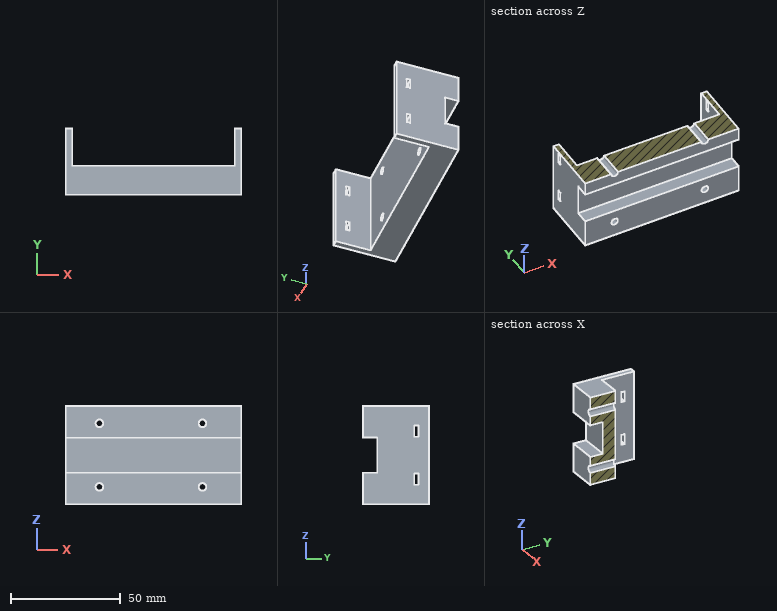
import cadquery as cq

length = 80.0
depth = 30.2
height = 45.0

base_depth = 13.3
plate_thickness = 3.0

groove_height = 16.0
groove_depth = 6.6

hole_diameter = 3.4
hole_row_spacing = 29.0
left_hole_inset = 15.4
hole_pitch = 47.0

slot_width = 1.8
slot_height = 5.0
slot_spacing = 21.9
slot_back_inset = 5.0

left = -length / 2
front = -depth / 2
back = depth / 2


def make_body():
    """U-shaped block: base plus two side plates."""
    block = cq.Workplane("XY").box(length, depth, height)
    recess_depth = depth - base_depth
    recess = (
        cq.Workplane("XY")
        .box(length - 2 * plate_thickness, recess_depth, height)
        .translate((0, back - recess_depth / 2, 0))
    )
    return block.cut(recess)


def make_groove():
    """Rectangular groove running the full length of the front face."""
    return (
        cq.Workplane("XY")
        .box(length, groove_depth, groove_height)
        .translate((0, front + groove_depth / 2, 0))
    )


def make_holes():
    """Four holes running from front to back through the base."""
    first_x = left + left_hole_inset
    centres = [
        (x, z)
        for x in (first_x, first_x + hole_pitch)
        for z in (-hole_row_spacing / 2, hole_row_spacing / 2)
    ]
    return (
        cq.Workplane("XZ", origin=(0, front, 0))
        .pushPoints(centres)
        .circle(hole_diameter / 2)
        .extrude(-base_depth)
    )


def make_slots():
    """Two slots, each passing through both side plates."""
    slot_y = back - slot_back_inset - slot_width / 2
    return (
        cq.Workplane("YZ", origin=(left, 0, 0))
        .pushPoints([(slot_y, -slot_spacing / 2), (slot_y, slot_spacing / 2)])
        .rect(slot_width, slot_height)
        .extrude(length)
    )


result = make_body().cut(make_groove()).cut(make_holes()).cut(make_slots())